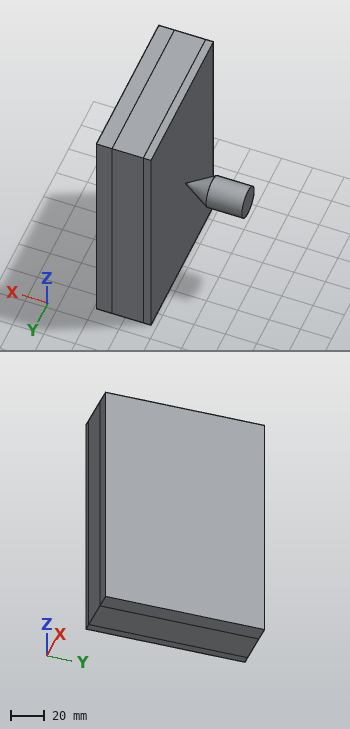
import cadquery as cq
import math

block_width = 100.0
block_height = 150.0
front_thickness = 5.0
core_thickness = 20.0
back_thickness = 10.0

pin_diameter = 20.0
pin_length = 40.0
tip_gap = 2.0
tip_half_angle = 30.0
pin_rise = 1.0

pin_radius = pin_diameter / 2
tip_length = pin_radius / math.tan(math.radians(tip_half_angle))
shank_length = pin_length - tip_length

core_start = front_thickness
back_start = core_start + core_thickness


def make_plate(start_x, thickness):
    """Rectangular plate centred on the X axis, starting at start_x."""
    return cq.Workplane("YZ", origin=(start_x, 0, 0)).rect(block_width, block_height).extrude(thickness)


def make_pin():
    """Round shank ending in a sharp cone that points toward +X."""
    half_profile = (
        cq.Workplane("XY", origin=(-tip_gap - pin_length, 0, pin_rise))
        .moveTo(0, 0)
        .lineTo(0, pin_radius)
        .lineTo(shank_length, pin_radius)
        .lineTo(pin_length, 0)
        .close()
    )
    return half_profile.revolve(360, (0, 0, 0), (1, 0, 0))


front_plate = make_plate(0, front_thickness)
core_plate = make_plate(core_start, core_thickness)
back_plate = make_plate(back_start, back_thickness)
pin = make_pin()

result = cq.Compound.makeCompound([front_plate.val(), core_plate.val(), back_plate.val(), pin.val()])